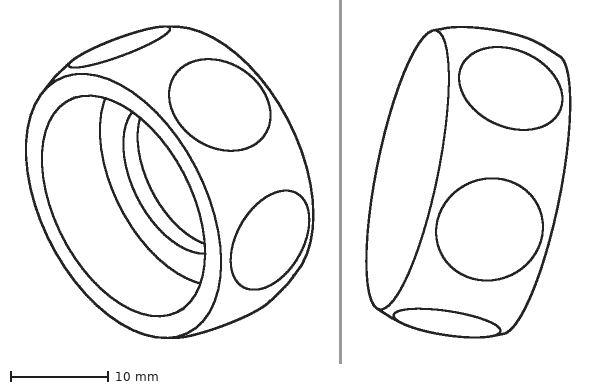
import cadquery as cq
import math

sphere_diameter = 31.97
nut_width = 13.0
across_flats = 30.0
flat_count = 6
bore_diameter = 24.4
floor_thickness = 3.0
ring_outer_diameter = 24.0
ring_inner_diameter = 17.0
ring_thickness = 2.0

open_face_y = -nut_width / 2
floor_y = nut_width / 2 - floor_thickness
ring_front_y = floor_y - ring_thickness


def cylinder_along_y(diameter, start_y, end_y):
    """Solid cylinder on the Y axis between two Y positions."""
    plane = cq.Plane(origin=(0, start_y, 0), xDir=(1, 0, 0), normal=(0, 1, 0))
    return cq.Workplane(plane).circle(diameter / 2).extrude(end_y - start_y)


def make_nut():
    """Ball cut to a hexagonal prism, with a blind bore from the -Y side."""
    corner_diameter = across_flats / math.cos(math.pi / flat_count)
    prism = (
        cq.Workplane("XZ")
        .polygon(flat_count, corner_diameter)
        .extrude(nut_width / 2, both=True)
        .rotate((0, 0, 0), (0, 1, 0), 180 / flat_count)
    )
    ball = cq.Workplane("XZ").sphere(sphere_diameter / 2)
    bore = cylinder_along_y(bore_diameter, open_face_y, floor_y)
    return ball.intersect(prism).cut(bore)


def make_ring():
    """Flat ring that lies on the floor of the bore with a small gap around it."""
    outside = cylinder_along_y(ring_outer_diameter, ring_front_y, floor_y)
    hole = cylinder_along_y(ring_inner_diameter, ring_front_y, floor_y)
    return outside.cut(hole)


nut = make_nut()
ring = make_ring()
result = cq.Compound.makeCompound([nut.val(), ring.val()])